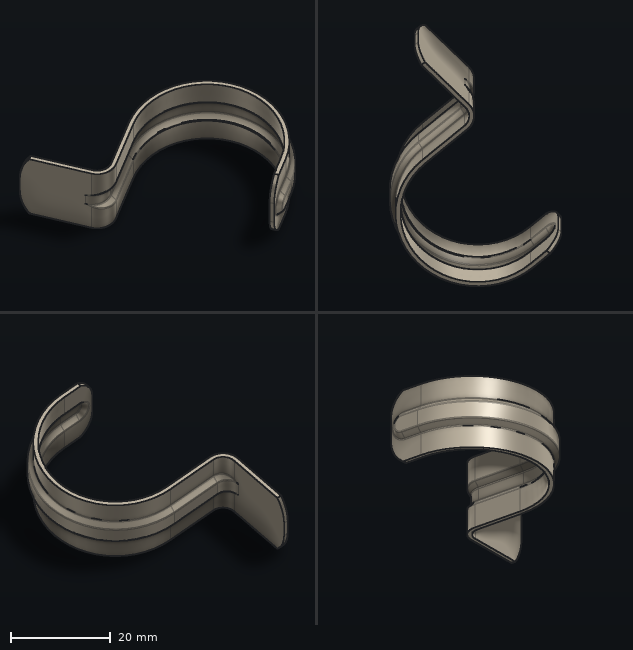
import cadquery as cq
import math

thickness = 1.0
strip_width = 16.0
inner_radius = 15.5
outer_radius = inner_radius + thickness
flange_front = -15.5
flange_end = -34.5
tail_end = -7.6
tight_bend_radius = 3.0
wide_bend_radius = tight_bend_radius + thickness
bend_y = flange_front + wide_bend_radius

flange_corner_radius = 10.0
flange_tip_half = 2.0
tail_corner_radius = 6.0
tail_tip_half = 2.75

bead_height = 1.2
crest_radius = outer_radius + bead_height
floor_radius = inner_radius + bead_height
crest_half = 1.83
floor_half = crest_half - thickness * math.tan(math.pi / 8)
bead_end_y = -4.1
bead_edge_radius = 0.4
bead_foot_radius = 0.35
bead_overlap = 0.3


def strip_edge(start_y, radius, bend_radius):
    """Open line: up the short leg, over the saddle, down the long leg and round the bend."""
    bend_x = -radius - bend_radius
    diagonal = bend_radius * math.sqrt(0.5)
    return (
        cq.Workplane("XY")
        .moveTo(radius, start_y)
        .lineTo(radius, 0)
        .threePointArc((0, radius), (-radius, 0))
        .lineTo(-radius, bend_y)
        .threePointArc((bend_x + diagonal, bend_y - diagonal), (bend_x, bend_y - bend_radius))
    )


def make_hollow():
    """The space on the inner side of the strip, bounded by its inner face."""
    below = flange_front - wide_bend_radius
    return (
        strip_edge(below, inner_radius, wide_bend_radius)
        .lineTo(flange_end, flange_front)
        .lineTo(flange_end, below)
        .close()
        .extrude(strip_width / 2, both=True)
    )


def make_strip():
    """The plain bent strip with square ends."""
    return (
        strip_edge(tail_end, outer_radius, tight_bend_radius)
        .lineTo(flange_end, flange_front + thickness)
        .lineTo(flange_end, flange_front)
        .lineTo(inner_radius, flange_front)
        .lineTo(inner_radius, tail_end)
        .close()
        .extrude(strip_width / 2, both=True)
        .cut(make_hollow())
    )


def corner_waste(plane, tip, tip_half, corner_radius, side, depth):
    """Material outside one corner arc; the strip runs toward +x of the plane from its tip."""
    half = strip_width / 2
    angle = math.asin((half - tip_half) / corner_radius)
    setback = corner_radius * (1 - math.cos(angle))
    middle_setback = corner_radius * (1 - math.cos(angle / 2))
    middle_half = tip_half + corner_radius * math.sin(angle / 2)
    return (
        cq.Workplane(plane)
        .moveTo(tip, side * tip_half)
        .threePointArc((tip + middle_setback, side * middle_half), (tip + setback, side * half))
        .lineTo(tip, side * half)
        .close()
        .extrude(depth)
    )


def round_ends(strip):
    """Cut the corners of the flange tip and of the short leg's free end."""
    for side in (-1, 1):
        strip = strip.cut(
            corner_waste("XZ", flange_end, flange_tip_half, flange_corner_radius, side, -flange_front)
        )
        strip = strip.cut(
            corner_waste("YZ", tail_end, tail_tip_half, tail_corner_radius, side, outer_radius)
        )
    return strip


def bead_half_section(top_radius, top_half):
    """Upper half of the bead section, with its rounded edge, across the short leg."""
    root_drop = bead_height + bead_overlap
    edge_run = bead_edge_radius * math.tan(math.pi / 8)
    slope_run = edge_run * math.sqrt(0.5)
    return (
        cq.Workplane("XZ", origin=(0, bead_end_y, 0))
        .moveTo(top_radius - root_drop, 0)
        .lineTo(top_radius, 0)
        .lineTo(top_radius, top_half - edge_run)
        .tangentArcPoint((top_radius - slope_run, top_half + slope_run), relative=False)
        .lineTo(top_radius - root_drop, top_half + root_drop)
        .close()
    )


def bead_body(top_radius, top_half, bend_radius):
    """Solid bead swept along the strip and closed by a round end."""
    path = strip_edge(bead_end_y, top_radius, bend_radius)
    upper_run = bead_half_section(top_radius, top_half).sweep(path)
    round_end = bead_half_section(top_radius, top_half).revolve(180, (0, 0, 0), (1, 0, 0))
    return upper_run.union(upper_run.mirror("XY")).union(round_end)


def round_bead_foot(strap, face_radius, top_half):
    """Round the bead's foot on one strip face; all its edges are tangent to the one picked here."""
    leg_point = (-face_radius, bend_y / 2, top_half + bead_height)
    return strap.edges(cq.selectors.NearestToPointSelector(leg_point)).fillet(bead_foot_radius)


strip = round_ends(make_strip())
crest = bead_body(crest_radius, crest_half, tight_bend_radius).cut(make_hollow())
channel = bead_body(floor_radius, floor_half, wide_bend_radius)
strap = strip.union(crest).cut(channel)
strap = round_bead_foot(strap, outer_radius, crest_half)
result = round_bead_foot(strap, inner_radius, floor_half)